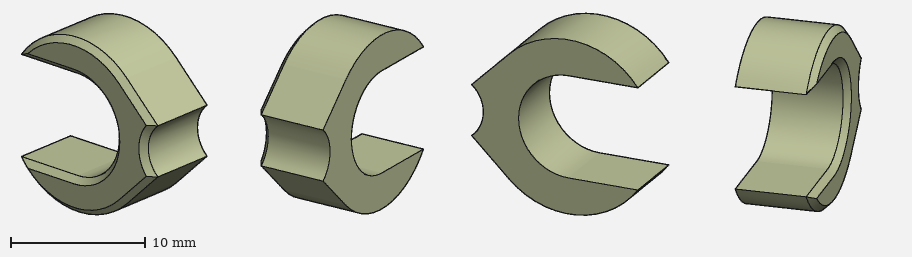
import cadquery as cq
import math

outer_radius = 7.0
bore_radius = 4.1
width = 6.0
chamfer_size = 0.5

nose_tip_x = 7.95
nose_half_height = 2.05
notch_bottom_x = 7.0

jaw_tip_x = -math.sqrt(outer_radius**2 - bore_radius**2)

tip_distance = math.hypot(nose_tip_x, nose_half_height)
tip_angle = math.atan2(nose_half_height, nose_tip_x)
tangent_angle = tip_angle + math.acos(outer_radius / tip_distance)
tangent_x = outer_radius * math.cos(tangent_angle)
tangent_z = outer_radius * math.sin(tangent_angle)


def clip_body():
    """Closed C outline extruded along Y, centred on Y = 0."""
    return (
        cq.Workplane("XZ")
        .moveTo(jaw_tip_x, bore_radius)
        .threePointArc((0, outer_radius), (tangent_x, tangent_z))
        .lineTo(nose_tip_x, nose_half_height)
        .threePointArc((notch_bottom_x, 0), (nose_tip_x, -nose_half_height))
        .lineTo(tangent_x, -tangent_z)
        .threePointArc((0, -outer_radius), (jaw_tip_x, -bore_radius))
        .lineTo(0, -bore_radius)
        .threePointArc((bore_radius, 0), (0, bore_radius))
        .close()
        .extrude(width / 2, both=True)
    )


def chamfer_front(body):
    """Bevel the whole outline of the -Y face."""
    return body.faces("<Y").chamfer(chamfer_size)


result = chamfer_front(clip_body())